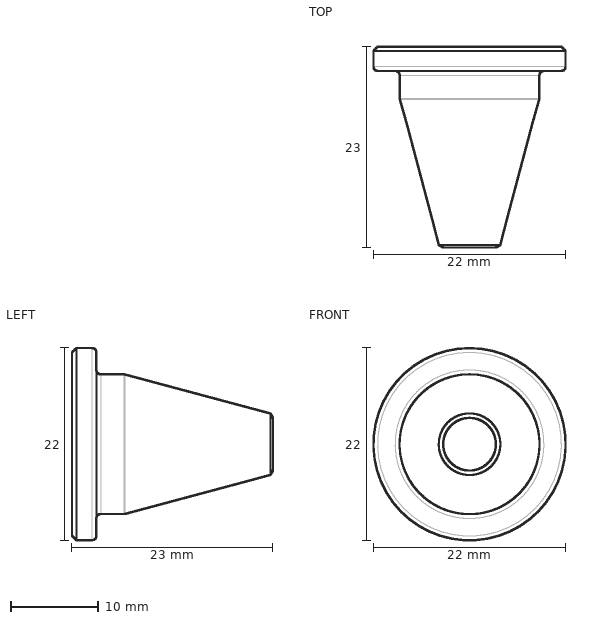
import cadquery as cq
import math

total_length = 23.0
flange_radius = 11.0
flange_thickness = 2.8
flange_back_chamfer = 0.5
flange_front_fillet = 0.5
neck_radius = 8.0
neck_end = 6.0
root_fillet = 0.5
shoulder_fillet = 0.5
cone_half_angle = 15.0
tip_chamfer_length = 0.3
bore_tip_radius = 3.0
bore_back_radius = 5.5
box_margin = 0.05

AXIS_START = (0, 0, 0)
AXIS_END = (1, 0, 0)


def revolve_profile(points):
    """Turn a closed outline of (Y, radius) points about the Y axis."""
    return cq.Workplane("YZ").polyline(points).close().revolve(360, AXIS_START, AXIS_END)


def make_body():
    """Solid flange, neck and tapered nozzle with a bevelled tip."""
    cone_end = total_length - tip_chamfer_length
    cone_drop = (cone_end - neck_end) * math.tan(math.radians(cone_half_angle))
    cone_tip_radius = neck_radius - cone_drop
    return revolve_profile(
        [
            (0, 0),
            (0, flange_radius - flange_back_chamfer),
            (-flange_back_chamfer, flange_radius),
            (-flange_thickness, flange_radius),
            (-flange_thickness, neck_radius),
            (-neck_end, neck_radius),
            (-cone_end, cone_tip_radius),
            (-total_length, bore_tip_radius),
            (-total_length, 0),
        ]
    )


def round_corner(body, radius, distance, fillet):
    """Round the circular edge of the given radius at a distance from the back face."""
    edge_box = cq.selectors.BoxSelector(
        (-radius - box_margin, -distance - box_margin, -radius - box_margin),
        (radius + box_margin, -distance + box_margin, radius + box_margin),
        boundingbox=True,
    )
    return body.edges("%CIRCLE").edges(edge_box).fillet(fillet)


def make_bore():
    """Conical through bore that widens from the tip to the back face."""
    return revolve_profile(
        [
            (0, 0),
            (0, bore_back_radius),
            (-total_length, bore_tip_radius),
            (-total_length, 0),
        ]
    )


body = make_body()
body = round_corner(body, neck_radius, neck_end, shoulder_fillet)
body = round_corner(body, neck_radius, flange_thickness, root_fillet)
body = round_corner(body, flange_radius, flange_thickness, flange_front_fillet)
result = body.cut(make_bore())